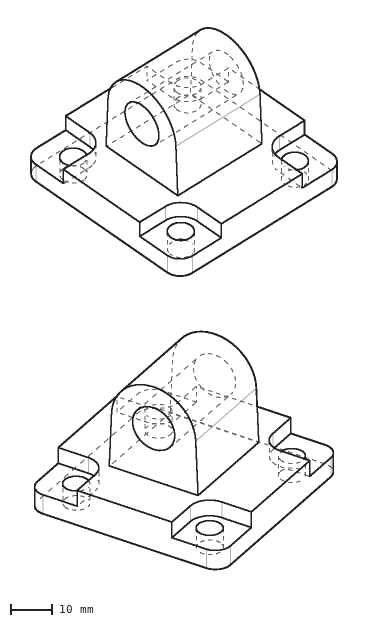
import cadquery as cq
import math

plate_side = 55.0
plate_height = 10.0
plate_corner_radius = 4.3

bolt_spacing = 38.0
bolt_diameter = 6.6
seat_height = 5.5
seat_radius = 5.5

bore_height = 25.0
bore_diameter = 12.0
lug_radius = 12.0
lug_base_width = 25.3
lug_length = 28.05


def make_plate():
    return (
        cq.Workplane("XY")
        .rect(plate_side, plate_side)
        .extrude(plate_height)
        .edges("|Z")
        .fillet(plate_corner_radius)
    )


def make_lug():
    half_base = lug_base_width / 2
    rise = bore_height - plate_height
    base_distance = math.hypot(half_base, rise)
    base_angle = math.atan2(-rise, half_base)
    tangent_angle = base_angle + math.acos(lug_radius / base_distance)
    tangent_x = lug_radius * math.cos(tangent_angle)
    tangent_z = bore_height + lug_radius * math.sin(tangent_angle)
    return (
        cq.Workplane("XZ")
        .moveTo(-half_base, plate_height)
        .lineTo(half_base, plate_height)
        .lineTo(tangent_x, tangent_z)
        .threePointArc((0, bore_height + lug_radius), (-tangent_x, tangent_z))
        .close()
        .extrude(lug_length / 2, both=True)
    )


def make_seat_cutter(x_side, y_side):
    inner_edge = bolt_spacing / 2 - seat_radius
    seat_side = plate_side / 2 - inner_edge
    seat_center = inner_edge + seat_side / 2
    inner_corner = cq.selectors.NearestToPointSelector(
        (x_side * inner_edge, y_side * inner_edge, (seat_height + plate_height) / 2)
    )
    return (
        cq.Workplane("XY", origin=(x_side * seat_center, y_side * seat_center, seat_height))
        .rect(seat_side, seat_side)
        .extrude(plate_height - seat_height)
        .edges("|Z")
        .edges(inner_corner)
        .fillet(seat_radius)
    )


plate = make_plate()
for x_side in (-1, 1):
    for y_side in (-1, 1):
        plate = plate.cut(make_seat_cutter(x_side, y_side))

bolt_holes = (
    cq.Workplane("XY")
    .rect(bolt_spacing, bolt_spacing, forConstruction=True)
    .vertices()
    .circle(bolt_diameter / 2)
    .extrude(plate_height)
)
bore = (
    cq.Workplane("XZ", origin=(0, 0, bore_height))
    .circle(bore_diameter / 2)
    .extrude(lug_length / 2, both=True)
)

result = plate.cut(bolt_holes).union(make_lug()).cut(bore)